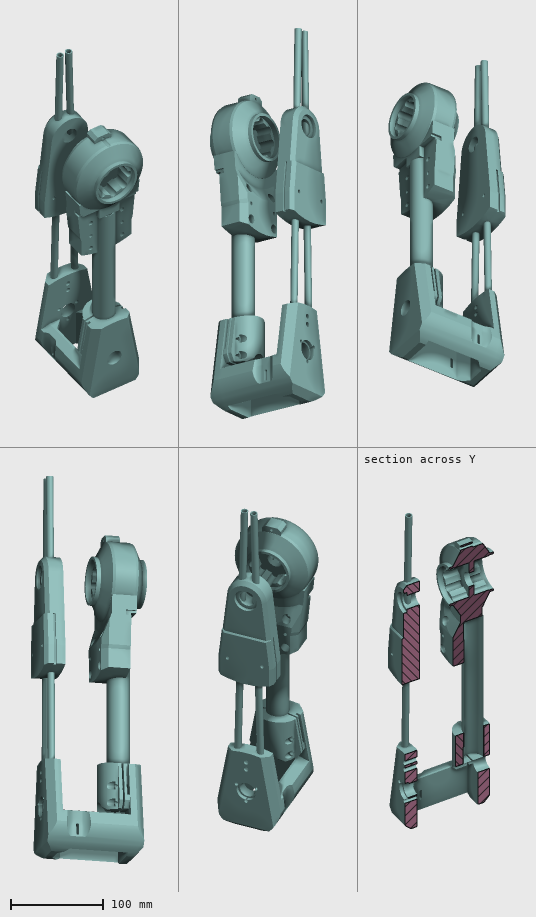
import cadquery as cq
import math

TOTAL_HEIGHT = 420.5
AXLE_Z = 308.5
BIG = 504.5
END_TRIM = 4.0
SCREW_RADIUS = 2.0
PIN_Y = 20.0
PIN_Z = 228.0

TUBE_X = 90.0
TUBE_RADIUS = 12.5
TUBE_BORE_RADIUS = 24.0 / 2
TUBE_BOTTOM = 62.2
TUBE_TOP = 253.5

FRAME_LEFT = 3.8
FRAME_RIGHT = 110.5
FRAME_LENGTH = FRAME_RIGHT - FRAME_LEFT
FRAME_MIDDLE = (FRAME_LEFT + FRAME_RIGHT) / 2
ARM_THICKNESS = 15.5
ARM_INNER_LEFT = FRAME_LEFT + ARM_THICKNESS
ARM_INNER_RIGHT = FRAME_RIGHT - ARM_THICKNESS
FRAME_TOP = 104.3
FRAME_SHOULDER_Z = 101.0
FRAME_SHOULDER_Y = 25.0
FRAME_WIDE_Y = 37.0
FRAME_WIDE_Z = 28.5
FRAME_FOOT_Y = 16.0
FRAME_CURVE_Y = 28.5
FRAME_CURVE_Z = 9.3
FRAME_TILT = math.atan2(FRAME_WIDE_Y - FRAME_SHOULDER_Y, FRAME_SHOULDER_Z - FRAME_WIDE_Z)
EDGE_CHAMFER_X = 8.5
EDGE_CHAMFER_Y = 7.5
WINDOW_HALF = 21.0
BAR_RIDGE_Y = 23.5
BAR_RIDGE_Z = 45.0
BAR_EAVE_Y = 36.0
BAR_EAVE_Z = 41.0
GUSSET_LEG = 11.0

SADDLE_X = 36.5
SADDLE_HALF_TOP = 13.5
SADDLE_HALF_MIDDLE = 9.5
SADDLE_HALF_FLOOR = 5.5
SADDLE_FLOOR_Y = 31.0
SADDLE_MIDDLE_Y = 33.0
SADDLE_BOTTOM = 14.0
SLOT_WIDTH = 3.5
SLOT_LENGTH = 12.5
SLOT_Z = 22.3

MOTOR_Z = 53.0
MOTOR_BORE_RADIUS = 18.0 / 2
MOTOR_RECESS_RADIUS = 22.3 / 2
MOTOR_RECESS_DEPTH = 4.0
MOTOR_SCREW_CIRCLE = 13.0
MOTOR_SCREW_ANGLES = (30, 150, 270)
ARM_HOLE_RADIUS = 2.75
ARM_HOLE_HEIGHTS = (82.5, 91.5)

CLAMP_RADIUS = 23.0
CLAMP_BOTTOM = 50.5
CLAMP_CHAMFER = 6.7
CLAMP_SLIT_LEFT = 87.5
CLAMP_SLIT_RIGHT = 89.5
LUG_LEFT = 83.5
LUG_TOP_HALF = 22.5
LUG_LOW_HALF = 30.3
LUG_FOOT_HALF = 25.2
LUG_LOW_Z = 59.0
LUG_GROOVE_LEFT = 92.0
LUG_GROOVE_BOTTOM = 65.0
LUG_GROOVE_Y = 20.0
CLAMP_SCREW_Y = 20.0
CLAMP_SCREW_HEIGHTS = (57.5, 76.5)
CLAMP_HEAD_RADIUS = 9.0 / 2
CLAMP_HEAD_SEAT = 81.0

HUB_LEFT = 59.3
HUB_RIGHT = 115.0
HUB_MIDDLE = (HUB_LEFT + HUB_RIGHT) / 2
HUB_HALF = HUB_MIDDLE - HUB_LEFT
HUB_RADIUS = 88.0 / 2
HUB_FLANGE_RADIUS = 26.5
HUB_FLANGE_WIDTH = 4.5
HUB_EDGE_RADIUS = 43.0
HUB_EDGE_HALF = 14.5
HUB_RIM_HALF = 11.5
HUB_ENTRY_RADIUS = 23.5
HUB_ENTRY_DEPTH = 6.5
HUB_BORE_RADIUS = 19.0
HUB_WEB_HALF = 3.5
HUB_WEB_HOLE_RADIUS = 18.0 / 2
GROOVE_COUNT = 8
GROOVE_RADIUS = 4.0

HUB_BLOCK_LEFT = 73.0
HUB_BLOCK_RIGHT = 88.7
HUB_BLOCK_TOP = 359.0
HUB_BLOCK_EDGE_Z = 355.7
HUB_BLOCK_HALF = 11.0
HUB_BLOCK_TOP_HALF = 6.7
HUB_SCREW_Z = 355.0
HUB_SCREW_RADIUS = 3.25 / 2
HUB_HEAD_RADIUS = 3.5

FOOT_HALF = 32.5
FOOT_CORNER_Z = 205.0
FOOT_Z = 199.0
WAIST_LOW_Z = 226.2
WAIST_HIGH_Z = 230.5
STEM_LEFT = 64.0
STEM_RIGHT = 95.0
STEM_CHAMFER = 6.7
STEM_WAIST_HALF = 33.5
STEM_TOP_HALF = 38.5
STEM_TOP_Z = 285.0
STEM_CONE_OUTER = 70.2
STEM_CONE_INNER = 54.2
STEM_SLOPE_LOW = 238.5
STEM_SLOPE_HIGH = 265.0
CHEEK_RIGHT = 101.0
CHEEK_BOTTOM = 266.5
CHEEK_NOTCH_TOP = 269.0
CHEEK_NOTCH_BOTTOM = 263.5
CHEEK_NOTCH_DEPTH = 2.0
STEM_SCREW_HEIGHTS = (210.2, 246.5)
STEM_SCREW_RADIUS = 2.75
STEM_HEAD_RADIUS = 5.0
STEM_HEAD_SEAT = 75.5

POD_LEFT = 2.0
POD_RIGHT = 22.5
POD_TOP_RADIUS = 23.0
POD_WAIST_HALF = 32.0
POD_SHOULDER_Z = AXLE_Z + 2.0
POD_CHAMFER = 4.0
POD_BORE_RADIUS = 18.0 / 2
POD_RECESS_RADIUS = 13.0
POD_RECESS_DEPTH = 4.0
PLATE_TOP = 262.0
PLATE_TOP_CHAMFER = 1.3
PLATE_CHAMFER = 3.8
PLATE_RIGHT = 10.0
PLATE_GROOVE_WIDTH = 2.5
PLATE_GROOVE_DEPTH = 2.0

ROD_X = 12.0
ROD_RADIUS = 4.0
ROD_BORE_RADIUS = 3.0
ROD_BOTTOM = 92.5
ROD_BOTTOM_Y = 13.5
ROD_TOP_Y = 5.5


def block(x0, x1, y0, y1, z0, z1):
    return cq.Workplane("XY", origin=(x0, y0, z0)).box(x1 - x0, y1 - y0, z1 - z0, centered=False)


def along_x(x0, x1, y, z, radius):
    return cq.Workplane("YZ", origin=(x0, y, z)).circle(radius).extrude(x1 - x0)


def upright(x, z0, z1, radius):
    return cq.Workplane("XY", origin=(x, 0, z0)).circle(radius).extrude(z1 - z0)


def across(points):
    """Endless prism along Y from an outline of (x, z) points."""
    return cq.Workplane("XZ").polyline(points).close().extrude(BIG, both=True)


def both_sides(shape):
    return shape.union(shape.mirror("XZ"))


def mirrored(points):
    """Outline points on the +Y side followed by their mirror images."""
    return points + [(-y, z) for y, z in reversed(points)]


def leaning_rods(radius):
    rise = TOTAL_HEIGHT - ROD_BOTTOM
    step_y = (ROD_TOP_Y - ROD_BOTTOM_Y) / rise
    start = cq.Vector(ROD_X, ROD_BOTTOM_Y - END_TRIM * step_y, ROD_BOTTOM - END_TRIM)
    cylinder = cq.Solid.makeCylinder(radius, rise + 2 * END_TRIM, start, cq.Vector(0, step_y, 1))
    level_ends = block(0, BIG, -BIG, BIG, ROD_BOTTOM, TOTAL_HEIGHT)
    return both_sides(cq.Workplane(obj=cylinder).intersect(level_ends))


def frame_blank():
    return (
        cq.Workplane("YZ", origin=(FRAME_LEFT, 0, 0))
        .moveTo(-FRAME_FOOT_Y, 0)
        .lineTo(FRAME_FOOT_Y, 0)
        .threePointArc((FRAME_CURVE_Y, FRAME_CURVE_Z), (FRAME_WIDE_Y, FRAME_WIDE_Z))
        .lineTo(FRAME_SHOULDER_Y, FRAME_SHOULDER_Z)
        .threePointArc((0, FRAME_TOP), (-FRAME_SHOULDER_Y, FRAME_SHOULDER_Z))
        .lineTo(-FRAME_WIDE_Y, FRAME_WIDE_Z)
        .threePointArc((-FRAME_CURVE_Y, FRAME_CURVE_Z), (-FRAME_FOOT_Y, 0))
        .close()
        .extrude(FRAME_LENGTH)
    )


def frame_edge_wedges():
    """Chamfers along the sides and foot of both outer faces."""
    side = (
        cq.Workplane("XY")
        .polyline([(0, 0), (EDGE_CHAMFER_X, 0), (0, -EDGE_CHAMFER_Y)])
        .close()
        .extrude(BIG, both=True)
        .rotate((0, 0, 0), (1, 0, 0), math.degrees(FRAME_TILT))
        .translate((FRAME_LEFT, FRAME_SHOULDER_Y, FRAME_SHOULDER_Z))
    )
    foot = across([
        (FRAME_LEFT, 0),
        (FRAME_LEFT + EDGE_CHAMFER_Y, 0),
        (FRAME_LEFT, EDGE_CHAMFER_Y),
    ])
    left = both_sides(side).union(foot)
    return left.union(left.mirror("YZ", (FRAME_MIDDLE, 0, 0)))


def space_between_arms():
    window = block(ARM_INNER_LEFT, ARM_INNER_RIGHT, -WINDOW_HALF, WINDOW_HALF, 0, BIG)
    roof = [(BAR_RIDGE_Y, BAR_RIDGE_Z), (BAR_EAVE_Y, BAR_EAVE_Z), (BIG, BAR_EAVE_Z), (BIG, BIG)]
    above = (
        cq.Workplane("YZ", origin=(ARM_INNER_LEFT, 0, 0))
        .polyline(mirrored(list(reversed(roof))))
        .close()
        .extrude(ARM_INNER_RIGHT - ARM_INNER_LEFT)
    )
    return window.union(above)


def gussets():
    gusset = (
        cq.Workplane("XY", origin=(ARM_INNER_LEFT, 0, 0))
        .polyline([(0, WINDOW_HALF), (GUSSET_LEG, WINDOW_HALF), (0, WINDOW_HALF - GUSSET_LEG)])
        .close()
        .extrude(BAR_RIDGE_Z)
    )
    return both_sides(gusset)


def saddle_recesses():
    saddle = (
        cq.Workplane("XY", origin=(SADDLE_X, 0, SADDLE_BOTTOM))
        .moveTo(-SADDLE_HALF_FLOOR, SADDLE_FLOOR_Y)
        .lineTo(SADDLE_HALF_FLOOR, SADDLE_FLOOR_Y)
        .threePointArc((SADDLE_HALF_MIDDLE, SADDLE_MIDDLE_Y), (SADDLE_HALF_TOP, FRAME_WIDE_Y))
        .lineTo(-SADDLE_HALF_TOP, FRAME_WIDE_Y)
        .threePointArc((-SADDLE_HALF_MIDDLE, SADDLE_MIDDLE_Y), (-SADDLE_HALF_FLOOR, SADDLE_FLOOR_Y))
        .close()
        .extrude(BAR_RIDGE_Z)
    )
    slot = (
        cq.Workplane("XZ", origin=(SADDLE_X, 0, SLOT_Z))
        .slot2D(SLOT_LENGTH, SLOT_WIDTH, 90)
        .extrude(BIG, both=True)
    )
    return both_sides(saddle).union(slot)


def clamp_blank():
    """Clamp barrel with its lugs, before it is slit into cap and frame."""
    left = TUBE_X - CLAMP_RADIUS
    barrel = upright(TUBE_X, CLAMP_BOTTOM, FRAME_TOP, CLAMP_RADIUS)
    lug_side = [
        (LUG_FOOT_HALF, CLAMP_BOTTOM),
        (LUG_LOW_HALF, LUG_LOW_Z),
        (LUG_TOP_HALF, FRAME_TOP),
    ]
    envelope = cq.Workplane("YZ").polyline(mirrored(lug_side)).close().extrude(BIG)
    lugs = envelope.intersect(block(LUG_LEFT, ARM_INNER_RIGHT, -BIG, BIG, 0, BIG))
    foot_chamfer = across([
        (left, CLAMP_BOTTOM),
        (left + CLAMP_CHAMFER, CLAMP_BOTTOM),
        (left, CLAMP_BOTTOM + CLAMP_CHAMFER),
    ])
    inside = block(left, ARM_INNER_RIGHT, -BIG, BIG, 0, BIG)
    clamp = barrel.intersect(envelope).union(lugs).intersect(inside)
    return clamp.cut(foot_chamfer).intersect(frame_blank())


def clamp_cuts():
    """Tube socket, motor bore and screws, shared by the cap and the frame."""
    cuts = upright(TUBE_X, TUBE_BOTTOM, BIG, TUBE_RADIUS)
    cuts = cuts.union(along_x(0, BIG, 0, MOTOR_Z, MOTOR_BORE_RADIUS))
    for height in CLAMP_SCREW_HEIGHTS:
        head = along_x(ARM_INNER_LEFT, CLAMP_HEAD_SEAT, CLAMP_SCREW_Y, height, CLAMP_HEAD_RADIUS)
        shank = along_x(ARM_INNER_LEFT, ARM_INNER_RIGHT, CLAMP_SCREW_Y, height, SCREW_RADIUS)
        cuts = cuts.union(both_sides(head.union(shank)))
    return cuts


def make_clamp_cap():
    cap_side = block(0, CLAMP_SLIT_LEFT, -BIG, BIG, 0, BIG)
    return clamp_blank().intersect(cap_side).cut(clamp_cuts())


def frame_clamp_half():
    frame_side = block(CLAMP_SLIT_RIGHT, BIG, -BIG, BIG, 0, BIG)
    groove = block(LUG_GROOVE_LEFT, ARM_INNER_RIGHT, LUG_GROOVE_Y, BIG, LUG_GROOVE_BOTTOM, BIG)
    return clamp_blank().intersect(frame_side).cut(both_sides(groove))


def left_arm_holes():
    recess_end = FRAME_LEFT + MOTOR_RECESS_DEPTH
    holes = along_x(0, recess_end, 0, MOTOR_Z, MOTOR_RECESS_RADIUS)
    for angle in MOTOR_SCREW_ANGLES:
        y = MOTOR_SCREW_CIRCLE * math.cos(math.radians(angle))
        z = MOTOR_Z + MOTOR_SCREW_CIRCLE * math.sin(math.radians(angle))
        holes = holes.union(along_x(0, ARM_INNER_LEFT, y, z, SCREW_RADIUS))
    for height in ARM_HOLE_HEIGHTS:
        holes = holes.union(along_x(0, ARM_INNER_LEFT, 0, height, ARM_HOLE_RADIUS))
    return holes


def make_frame():
    blank = frame_blank()
    frame = blank.cut(space_between_arms())
    frame = frame.union(gussets().intersect(blank))
    frame = frame.cut(saddle_recesses())
    frame = frame.union(frame_clamp_half())
    frame = frame.cut(frame_edge_wedges())
    frame = frame.cut(left_arm_holes()).cut(clamp_cuts())
    return frame.cut(leaning_rods(ROD_RADIUS))


def hub_ring():
    half = [
        (HUB_HALF, 0),
        (HUB_HALF, HUB_FLANGE_RADIUS),
        (HUB_HALF - HUB_FLANGE_WIDTH, HUB_FLANGE_RADIUS),
        (HUB_EDGE_HALF, HUB_EDGE_RADIUS),
        (HUB_RIM_HALF, HUB_RADIUS),
    ]
    profile = half + [(-x, r) for x, r in reversed(half)]
    ring = cq.Workplane("XY").polyline(profile).close().revolve(360, (0, 0), (1, 0))
    return ring.translate((HUB_MIDDLE, 0, AXLE_Z))


def hub_bore():
    """Stepped bore from each side up to a web, with grooves round its wall."""
    side = along_x(HUB_LEFT, HUB_LEFT + HUB_ENTRY_DEPTH, 0, AXLE_Z, HUB_ENTRY_RADIUS)
    web_face = HUB_MIDDLE - HUB_WEB_HALF
    side = side.union(along_x(HUB_LEFT, web_face, 0, AXLE_Z, HUB_BORE_RADIUS))
    for index in range(GROOVE_COUNT):
        angle = 2 * math.pi * index / GROOVE_COUNT
        y = HUB_BORE_RADIUS * math.cos(angle)
        z = AXLE_Z + HUB_BORE_RADIUS * math.sin(angle)
        side = side.union(along_x(HUB_LEFT, web_face, y, z, GROOVE_RADIUS))
    hole = along_x(HUB_LEFT, HUB_RIGHT, 0, AXLE_Z, HUB_WEB_HOLE_RADIUS)
    return side.union(side.mirror("YZ", (HUB_MIDDLE, 0, 0))).union(hole)


def hub_block():
    side = [
        (HUB_BLOCK_HALF, AXLE_Z),
        (HUB_BLOCK_HALF, HUB_BLOCK_EDGE_Z),
        (HUB_BLOCK_TOP_HALF, HUB_BLOCK_TOP),
    ]
    return (
        cq.Workplane("YZ", origin=(HUB_BLOCK_LEFT, 0, 0))
        .polyline(mirrored(side))
        .close()
        .extrude(HUB_BLOCK_RIGHT - HUB_BLOCK_LEFT)
    )


def hub_screw():
    hole = along_x(HUB_LEFT, HUB_RIGHT, 0, HUB_SCREW_Z, HUB_SCREW_RADIUS)
    head = along_x(HUB_BLOCK_RIGHT, HUB_RIGHT, 0, HUB_SCREW_Z, HUB_HEAD_RADIUS)
    return hole.union(head)


def arc_footed_prism(x0, x1, side, top_z=None):
    """Prism along X on the shallow foot arc; side lists the +Y points upwards, top_z rounds its top."""
    sketch = (
        cq.Workplane("YZ", origin=(x0, 0, 0))
        .moveTo(-FOOT_HALF, FOOT_CORNER_Z)
        .threePointArc((0, FOOT_Z), (FOOT_HALF, FOOT_CORNER_Z))
    )
    for y, z in side:
        sketch = sketch.lineTo(y, z)
    end_y, end_z = side[-1]
    if top_z is None:
        sketch = sketch.lineTo(-end_y, end_z)
    else:
        sketch = sketch.threePointArc((0, top_z), (-end_y, end_z))
    for y, z in reversed(side[:-1]):
        sketch = sketch.lineTo(-y, z)
    return sketch.close().extrude(x1 - x0)


def stem():
    side = [
        (FOOT_HALF, WAIST_LOW_Z),
        (STEM_WAIST_HALF, WAIST_HIGH_Z),
        (STEM_TOP_HALF, STEM_TOP_Z),
    ]
    front = arc_footed_prism(STEM_LEFT, STEM_RIGHT, side)
    front = front.faces("<X").edges("(not <Z) and (not >Z)").chamfer(STEM_CHAMFER)
    shoulder = (
        cq.Workplane("XY")
        .polyline([
            (0, 0),
            (0, STEM_CONE_OUTER),
            (STEM_LEFT, STEM_CONE_OUTER),
            (HUB_BLOCK_LEFT, STEM_CONE_INNER),
            (HUB_BLOCK_LEFT, 0),
        ])
        .close()
        .revolve(360, (0, 0), (1, 0))
        .translate((0, 0, AXLE_Z))
    )
    slope = across([
        (STEM_LEFT, STEM_SLOPE_LOW),
        (HUB_BLOCK_LEFT, STEM_SLOPE_HIGH),
        (HUB_BLOCK_LEFT, AXLE_Z),
        (0, AXLE_Z),
        (0, STEM_SLOPE_LOW),
    ])
    cheeks = arc_footed_prism(STEM_RIGHT, CHEEK_RIGHT, side)
    cheeks = cheeks.intersect(block(0, BIG, -BIG, BIG, CHEEK_BOTTOM, BIG))
    neck = block(STEM_RIGHT, CHEEK_RIGHT, -TUBE_RADIUS, TUBE_RADIUS, TUBE_TOP, CHEEK_BOTTOM)
    notch_y = STEM_TOP_HALF - 2 * CHEEK_NOTCH_DEPTH
    notch = block(HUB_BLOCK_RIGHT, CHEEK_RIGHT, notch_y, BIG, CHEEK_NOTCH_BOTTOM, CHEEK_NOTCH_TOP)
    front = front.cut(shoulder).cut(slope)
    return front.union(cheeks).union(neck).cut(both_sides(notch))


def stem_screws():
    holes = along_x(STEM_LEFT, STEM_RIGHT, PIN_Y, PIN_Z, SCREW_RADIUS)
    for height in STEM_SCREW_HEIGHTS:
        head = along_x(STEM_LEFT, STEM_HEAD_SEAT, PIN_Y, height, STEM_HEAD_RADIUS)
        shank = along_x(STEM_LEFT, STEM_RIGHT, PIN_Y, height, STEM_SCREW_RADIUS)
        holes = holes.union(head).union(shank)
    return both_sides(holes)


def make_mast():
    tube = upright(TUBE_X, TUBE_BOTTOM, TUBE_TOP, TUBE_RADIUS)
    tube_bore = upright(TUBE_X, TUBE_BOTTOM, TUBE_TOP, TUBE_BORE_RADIUS)
    mast = hub_ring().union(stem()).union(hub_block()).union(tube)
    return mast.cut(hub_bore()).cut(hub_screw()).cut(stem_screws()).cut(tube_bore)


def pod_shell():
    side = [
        (FOOT_HALF, WAIST_LOW_Z),
        (POD_WAIST_HALF, WAIST_HIGH_Z),
        (POD_TOP_RADIUS, POD_SHOULDER_Z),
    ]
    body = arc_footed_prism(POD_LEFT, POD_RIGHT, side, AXLE_Z + POD_TOP_RADIUS)
    body = body.faces("<X").edges("not <Z").chamfer(POD_CHAMFER)
    plate = arc_footed_prism(0, PLATE_RIGHT, side)
    plate = plate.faces("<X").edges("(not <Z) and (not >Z)").chamfer(PLATE_CHAMFER)
    below_top = across([
        (0, 0),
        (PLATE_RIGHT, 0),
        (PLATE_RIGHT, PLATE_TOP),
        (PLATE_TOP_CHAMFER, PLATE_TOP),
        (0, PLATE_TOP - PLATE_TOP_CHAMFER),
    ])
    return body.union(plate.intersect(below_top))


def pod_holes():
    holes = along_x(0, POD_RIGHT, 0, AXLE_Z, POD_BORE_RADIUS)
    holes = holes.union(along_x(0, POD_LEFT + POD_RECESS_DEPTH, 0, AXLE_Z, POD_RECESS_RADIUS))
    for side in (-1, 1):
        holes = holes.union(along_x(0, POD_RIGHT, side * PIN_Y, PIN_Z, SCREW_RADIUS))
    return holes


def plate_grooves():
    """Narrow grooves along the slanted sides of the pod, behind the plate."""
    taper = (POD_WAIST_HALF - POD_TOP_RADIUS) / (POD_SHOULDER_Z - WAIST_HIGH_Z)
    plate_top_half = POD_WAIST_HALF - taper * (PLATE_TOP - WAIST_HIGH_Z)
    groove = (
        cq.Workplane("YZ", origin=(PLATE_RIGHT, 0, 0))
        .polyline([
            (FOOT_HALF - PLATE_GROOVE_DEPTH, FOOT_Z),
            (FOOT_HALF - PLATE_GROOVE_DEPTH, WAIST_HIGH_Z),
            (plate_top_half - PLATE_GROOVE_DEPTH, PLATE_TOP),
            (BIG, PLATE_TOP),
            (BIG, FOOT_Z),
        ])
        .close()
        .extrude(PLATE_GROOVE_WIDTH)
    )
    return both_sides(groove)


def make_pod():
    shell = pod_shell().cut(pod_holes()).cut(plate_grooves())
    return shell.union(leaning_rods(ROD_RADIUS)).cut(leaning_rods(ROD_BORE_RADIUS))


frame = make_frame()
clamp_cap = make_clamp_cap()
mast = make_mast()
pod = make_pod()

result = cq.Compound.makeCompound([frame.val(), clamp_cap.val(), mast.val(), pod.val()])